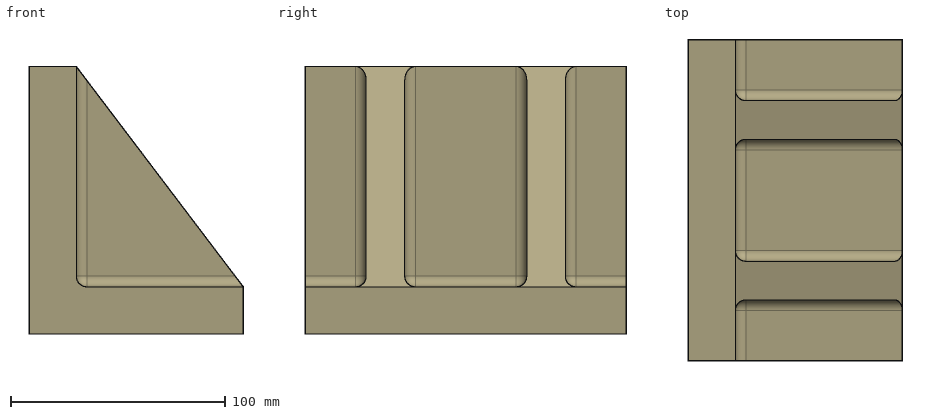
import cadquery as cq

depth = 100.0
width = 150.0
height = 125.0
plate_thickness = 22.0

rib_thickness = 18.0
rib_center = width / 4
fillet_radius = 5.0

half_width = width / 2
rib_inner_face = rib_center - rib_thickness / 2
rib_outer_face = rib_center + rib_thickness / 2
overrun = 2 * fillet_radius


def wedge_body():
    """Wall and base joined by a solid wedge across the full width."""
    return (
        cq.Workplane("XZ", origin=(0, half_width, 0))
        .moveTo(0, 0)
        .lineTo(depth, 0)
        .lineTo(depth, plate_thickness)
        .lineTo(plate_thickness, height)
        .lineTo(0, height)
        .close()
        .extrude(width)
    )


def pocket(y_start, y_end):
    """Rounded block that leaves fillets along the wall, base and rib faces."""
    return (
        cq.Workplane("XY")
        .box(
            depth - plate_thickness + overrun,
            y_end - y_start,
            height - plate_thickness + overrun,
            centered=False,
        )
        .edges()
        .fillet(fillet_radius)
        .translate((plate_thickness, y_start, plate_thickness))
    )


pocket_spans = [
    (-half_width - overrun, -rib_outer_face),
    (-rib_inner_face, rib_inner_face),
    (rib_outer_face, half_width + overrun),
]

result = wedge_body()
for y_start, y_end in pocket_spans:
    result = result.cut(pocket(y_start, y_end))